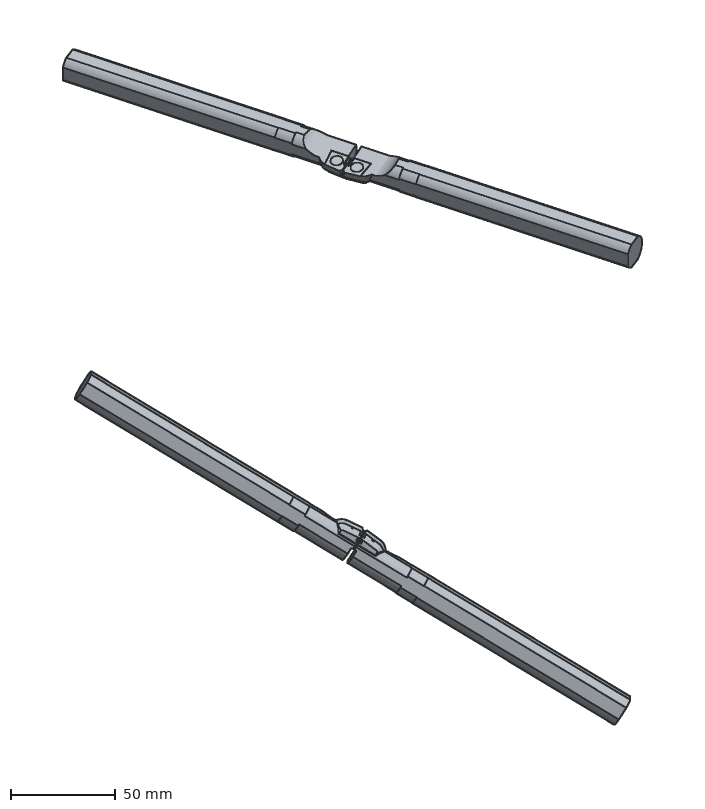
import cadquery as cq
import math


LENGTH = 302.61
HALF_LENGTH = LENGTH / 2
HEIGHT = 14.5
FRONT_Y = -7.0
GRIP_RADIUS = 8.0
COLLAR_RADIUS = 7.94
NECK_RADIUS = 7.65
COLLAR_START = 37.8
NECK_START = 28.7

DECK_TILT = 8.0
DECK_Z = 1.75
SCOOP_TOP_X = 24.1
SCOOP_BOTTOM_X = 16.2
SCOOP_RADIUS = 14.0
SCOOP_RISE = HEIGHT / 2 - DECK_Z

KNUCKLE_FRONT_Y = -10.81
KNUCKLE_SHOULDER = (9.5, -10.0)
KNUCKLE_SIDE = (12.4, -8.75)
KNUCKLE_END_X = 14.0
KNUCKLE_CREASE_Z = -4.0
UPPER_TAPER = 15.5
LOWER_TAPER = 40.0

GAP_HALF = 1.4
TOOTH_GAP_HALF = 0.25
TOOTH_BEVEL = GAP_HALF - TOOTH_GAP_HALF
FRONT_TOOTH_BACK_Y = -6.2
REAR_TOOTH_Y = (-5.0, -0.8)
REAR_TOOTH_DROP = 1.0
TOOTH_SLOT_Z = (-5.6, KNUCKLE_CREASE_Z)

RECESS_BACK_X = 10.6
RECESS_FRONT_X = 9.6
RECESS_BACK_Y = -0.9
RECESS_DEPTH = 0.2

KNUCKLE_TOP_Z = (
    DECK_Z
    + KNUCKLE_FRONT_Y * math.tan(math.radians(DECK_TILT))
    - RECESS_DEPTH / math.cos(math.radians(DECK_TILT))
)

PIN_DIAMETER = 6.0
PIN_X = 5.4
PIN_Y = -5.5

MARGIN = 5.0
CUT_REACH = 20.0


def box_between(x_range, y_range, z_range):
    size = [end - start for start, end in (x_range, y_range, z_range)]
    return cq.Workplane("XY").box(*size, centered=False).translate((x_range[0], y_range[0], z_range[0]))


def bar(radius, x_start, x_end):
    """Stretch of flattened round bar along X."""
    round_bar = cq.Workplane("YZ", origin=(x_start, 0, 0)).circle(radius).extrude(x_end - x_start)
    flats = box_between((x_start, x_end), (FRONT_Y, radius), (-HEIGHT / 2, HEIGHT / 2))
    return round_bar.intersect(flats)


def tilt_to_deck(tool):
    """Moves a tool built on the XY plane onto the sloping deck."""
    return tool.rotate((0, 0, 0), (1, 0, 0), DECK_TILT).translate((0, 0, DECK_Z))


def deck_cutter():
    """Everything above the deck and the scoop that rises to the top of the bar."""
    rim_z = SCOOP_RISE + MARGIN
    run = SCOOP_TOP_X - SCOOP_BOTTOM_X
    chord = math.hypot(run, SCOOP_RISE)
    sagitta = SCOOP_RADIUS - math.sqrt(SCOOP_RADIUS**2 - (chord / 2) ** 2)
    arc_middle = (
        (SCOOP_TOP_X + SCOOP_BOTTOM_X) / 2 + sagitta * SCOOP_RISE / chord,
        SCOOP_RISE / 2 - sagitta * run / chord,
    )
    profile = (
        cq.Workplane("XZ")
        .moveTo(-MARGIN, 0)
        .lineTo(SCOOP_BOTTOM_X, 0)
        .threePointArc(arc_middle, (SCOOP_TOP_X, SCOOP_RISE))
        .lineTo(SCOOP_TOP_X + MARGIN, rim_z)
        .lineTo(-MARGIN, rim_z)
        .close()
    )
    return tilt_to_deck(profile.extrude(CUT_REACH, both=True))


def knuckle_outline(z):
    """Plan of the whole knuckle: a blunt nose at the front with rounded sides."""
    shoulder_x, shoulder_y = KNUCKLE_SHOULDER
    side_x, side_y = KNUCKLE_SIDE
    return (
        cq.Workplane("XY", origin=(0, 0, z))
        .moveTo(-KNUCKLE_END_X, 0)
        .lineTo(-KNUCKLE_END_X, FRONT_Y)
        .threePointArc((-side_x, side_y), (-shoulder_x, shoulder_y))
        .lineTo(-GAP_HALF, KNUCKLE_FRONT_Y)
        .lineTo(GAP_HALF, KNUCKLE_FRONT_Y)
        .lineTo(shoulder_x, shoulder_y)
        .threePointArc((side_x, side_y), (KNUCKLE_END_X, FRONT_Y))
        .lineTo(KNUCKLE_END_X, 0)
        .close()
    )


def knuckle():
    """Knuckle block whose front leans back below the deck and again below the crease."""
    cap = knuckle_outline(KNUCKLE_TOP_Z).extrude(DECK_Z - KNUCKLE_TOP_Z)
    upper = knuckle_outline(KNUCKLE_TOP_Z).extrude(KNUCKLE_CREASE_Z - KNUCKLE_TOP_Z, taper=UPPER_TAPER)
    lower = (
        upper.faces("<Z").wires().toPending()
        .workplane()
        .extrude(KNUCKLE_CREASE_Z + HEIGHT / 2, taper=LOWER_TAPER, combine=False)
    )
    return cap.union(upper).union(lower)


def cut_gap(body):
    """Opens the gap at the middle plane, leaving a front and a rear tooth."""
    past = -MARGIN
    all_z = (-HEIGHT, HEIGHT)
    behind = box_between((past, GAP_HALF), (REAR_TOOTH_Y[1], CUT_REACH), all_z)
    window = box_between((past, GAP_HALF), (FRONT_TOOTH_BACK_Y, REAR_TOOTH_Y[0]), all_z)
    slot = box_between((past, GAP_HALF), (-CUT_REACH, CUT_REACH), TOOTH_SLOT_Z)
    clearance = box_between((past, TOOTH_GAP_HALF), (-CUT_REACH, CUT_REACH), all_z)
    rear_step = tilt_to_deck(box_between((past, GAP_HALF), REAR_TOOTH_Y, (-REAR_TOOTH_DROP, MARGIN)))
    bevel = (
        cq.Workplane("XY", origin=(0, 0, -HEIGHT))
        .moveTo(TOOTH_GAP_HALF, KNUCKLE_FRONT_Y + TOOTH_BEVEL)
        .lineTo(GAP_HALF + MARGIN, KNUCKLE_FRONT_Y - MARGIN)
        .lineTo(TOOTH_GAP_HALF, KNUCKLE_FRONT_Y - MARGIN)
        .close()
        .extrude(2 * HEIGHT)
    )
    for tool in (behind, window, slot, clearance, rear_step, bevel):
        body = body.cut(tool)
    return body


def recess_cutter():
    """Shallow pocket sunk in the deck, open to the gap and to the front."""
    slant = (RECESS_BACK_X - RECESS_FRONT_X) / (RECESS_BACK_Y - KNUCKLE_SHOULDER[1])
    open_front_y = KNUCKLE_FRONT_Y - MARGIN
    outline = (
        cq.Workplane("XY")
        .moveTo(-MARGIN, RECESS_BACK_Y)
        .lineTo(RECESS_BACK_X, RECESS_BACK_Y)
        .lineTo(RECESS_BACK_X - slant * (RECESS_BACK_Y - open_front_y), open_front_y)
        .lineTo(-MARGIN, open_front_y)
        .close()
    )
    return tilt_to_deck(outline.extrude(2 * RECESS_DEPTH).translate((0, 0, -RECESS_DEPTH)))


def pin_blank():
    return (
        cq.Workplane("XY", origin=(PIN_X, PIN_Y, KNUCKLE_CREASE_Z))
        .circle(PIN_DIAMETER / 2)
        .extrude(HEIGHT)
    )


def handle_blank():
    """Right-hand handle (+X) before its pin hole is made."""
    body = bar(GRIP_RADIUS, COLLAR_START, HALF_LENGTH)
    body = body.union(bar(COLLAR_RADIUS, NECK_START, COLLAR_START))
    body = body.union(bar(NECK_RADIUS, 0, NECK_START))
    body = body.union(knuckle().intersect(box_between((0, HALF_LENGTH), (-CUT_REACH, 0), (-HEIGHT, HEIGHT))))
    body = body.cut(deck_cutter()).cut(recess_cutter())
    return cut_gap(body)


def handle():
    return handle_blank().cut(pin_blank())


def pin():
    """Plain pin standing in a blind hole in the knuckle, flush with the recess floor."""
    return pin_blank().cut(deck_cutter()).cut(recess_cutter())


bodies = []
for make_body in (handle, pin):
    right_body = make_body()
    bodies.append(right_body.val())
    bodies.append(right_body.mirror("YZ").val())

result = cq.Compound.makeCompound(bodies)